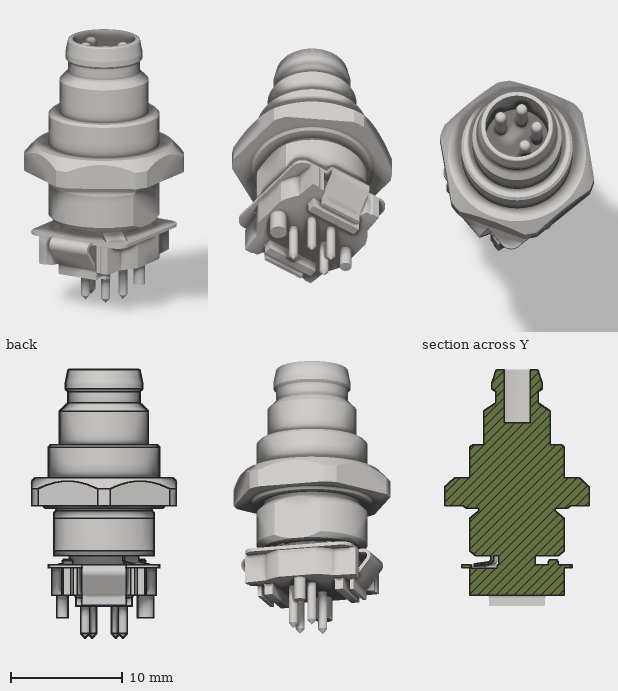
import cadquery as cq
import math


ORIGIN = (0, 0, 0)
AXIS_POINT = (0, 0, 1)

TOP_Z = 12.25
PIN_TIP_Z = 12.0
RIM_Z = 12.1
RING_TOP_Z = 11.0
RING_BOTTOM_Z = 10.5
SOCKET_FLOOR_Z = 7.5
CONE_TOP_Z = 9.25
SHOULDER_Z = 5.5
HEX_HEIGHT = 2.53
FLANGE_HEIGHT = 0.22
NUT_TOP_Z = -0.45
NUT_BOTTOM_Z = -4.5
PLATE_TOP_Z = -5.28
PLATE_THICKNESS = 0.3
CARRIER_TOP_Z = PLATE_TOP_Z - PLATE_THICKNESS
CARRIER_BOTTOM_Z = -8.05
PAD_BOTTOM_Z = -9.0
CLIP_BOTTOM_Z = -8.95
PEG_BOTTOM_Z = -10.06
PIN_BOTTOM_Z = -11.9

BORE_RADIUS = 2.85
RIM_FACE_RADIUS = 3.08
RIM_RADIUS = 3.25
RING_RADIUS = 3.48
NECK_RADIUS = 3.25
SLEEVE_RADIUS = 4.0
SHOULDER_RADIUS = 5.0
SMALL_CHAMFER = 0.22
FLANGE_RADIUS = 5.5
UNDERCUT_RADIUS = 4.33
NUT_RADIUS = 5.0
NUT_LOWER_CHAMFER = 0.45
NUT_FLATS = 9.0
STEM_RADIUS = 3.1

HEX_FLATS = 13.0
HEX_CORNER_RADIUS = 7.197
HEX_CHAMFER = 1.0

PIN_POSITIONS = [(-1.7, 0.49), (1.7, 0.49), (-1.06, -1.43), (1.06, -1.43)]
PIN_RADIUS = 0.5
PIN_DOME_RADIUS = 0.4
PIN_TAIL_RADIUS = 0.4
PIN_POINT_LENGTH = 0.45
PIN_SEAT_RADIUS = 0.7
PIN_SEAT_DEPTH = 0.2

PLATE_SIDE = 10.0
PLATE_CORNER_RADIUS = 1.05
CLIP_WIDTH = 3.98
CLIP_BEND_RADIUS = 0.65
CLIP_BEND_Y = 5.42
CLIP_SLOPE = math.radians(39)
CLIP_LEG_BEND_RADIUS = 0.3
CLIP_LEG_OUTER_Y = 4.49
CLIP_LEG_INNER_Y = CLIP_LEG_OUTER_Y - 0.33
FINGER_WIDTH = 1.8
FINGER_HINGE = 5.0
FINGER_KNEE = 3.76
FINGER_FACE = 3.52
FINGER_RISE = 0.24
FINGER_THICKNESS = 0.22
FINGER_BEND_RADIUS = FINGER_KNEE - FINGER_FACE
RELIEF = 0.15
FINGER_ANGLES = [-45, 135]

CARRIER_RADIUS = 5.0
CARRIER_WIDTH = 9.4
CARRIER_HALF_DEPTH = 5.2
BLOCK_ROOT_Y = 3.23
BLOCK_ROOT_X = math.sqrt(CARRIER_RADIUS ** 2 - BLOCK_ROOT_Y ** 2)
BLOCK_END_X = 3.65
STEP_OUTER_X = 3.0
STEP_INNER_X = 2.78
STEP_DEPTH = 0.12
SLOT_MOUTH_X = 2.39
SLOT_MIDDLE_X = 2.21
SLOT_FLOOR_X = 2.02
SLOT_MIDDLE_Y = 4.7
PAD_WIDTH = 5.06
PAD_DEPTH = 0.75
PAD_CENTRE_Y = 3.3
PAD_FLARE = 0.07
PAD_FLARE_HEIGHT = 0.2

PEG_X = 3.74
LARGE_PEG_RADIUS = 0.74
SMALL_PEG_RADIUS = 0.52
STUD_POSITIONS = [(-3.27, -2.6), (3.27, 2.6)]
STUD_RADIUS = 0.48
STUD_HEIGHT = 0.34
STUD_CAP_RADIUS = 0.39
STUD_CAP_HEIGHT = 0.14


def cylinder(radius, bottom, top, x=0, y=0):
    return cq.Workplane("XY", origin=(x, y, bottom)).circle(radius).extrude(top - bottom)


def make_shell():
    """Turned sleeve, shoulder and flange ring, with the open mating socket."""
    rim_bulge = (RIM_RADIUS - RIM_FACE_RADIUS) * math.sqrt(0.5)
    rim_mid = (RIM_FACE_RADIUS + rim_bulge, RIM_Z + (TOP_Z - RIM_Z) * math.sqrt(0.5))
    return (
        cq.Workplane("XZ")
        .moveTo(0, -FLANGE_HEIGHT)
        .lineTo(FLANGE_RADIUS - FLANGE_HEIGHT, -FLANGE_HEIGHT)
        .lineTo(FLANGE_RADIUS, 0)
        .lineTo(SHOULDER_RADIUS, 0)
        .lineTo(SHOULDER_RADIUS, SHOULDER_Z - SMALL_CHAMFER)
        .lineTo(SHOULDER_RADIUS - SMALL_CHAMFER, SHOULDER_Z)
        .lineTo(SLEEVE_RADIUS, SHOULDER_Z)
        .lineTo(SLEEVE_RADIUS, CONE_TOP_Z - (SLEEVE_RADIUS - NECK_RADIUS))
        .lineTo(NECK_RADIUS, CONE_TOP_Z)
        .lineTo(NECK_RADIUS, RING_BOTTOM_Z - (RING_RADIUS - NECK_RADIUS))
        .lineTo(RING_RADIUS, RING_BOTTOM_Z)
        .lineTo(RING_RADIUS, RING_TOP_Z)
        .lineTo(RIM_RADIUS, RIM_Z)
        .threePointArc(rim_mid, (RIM_FACE_RADIUS, TOP_Z))
        .lineTo(BORE_RADIUS, TOP_Z)
        .lineTo(BORE_RADIUS, SOCKET_FLOOR_Z)
        .lineTo(0, SOCKET_FLOOR_Z)
        .close()
        .revolve(360, (0, 0, 0), (0, 1, 0))
    )


def make_hexagon():
    """Hexagon with two flats facing X, corners turned round and chamfered on top."""
    prism = (
        cq.Workplane("XY")
        .polygon(6, HEX_FLATS, circumscribed=True)
        .extrude(HEX_HEIGHT)
    )
    envelope = cylinder(HEX_CORNER_RADIUS, 0, HEX_HEIGHT).faces(">Z").chamfer(HEX_CHAMFER)
    return prism.intersect(envelope)


def make_nut():
    """Lower collar with two flats facing X, and the stem that passes through it."""
    upper_chamfer = NUT_RADIUS - UNDERCUT_RADIUS
    collar = (
        cylinder(NUT_RADIUS, NUT_BOTTOM_Z, NUT_TOP_Z)
        .faces(">Z").chamfer(upper_chamfer)
        .faces("<Z").chamfer(NUT_LOWER_CHAMFER)
    )
    undercut = cylinder(UNDERCUT_RADIUS, NUT_TOP_Z, 0)
    flats = (
        cq.Workplane("XY", origin=(0, 0, NUT_BOTTOM_Z))
        .rect(NUT_FLATS, 2 * NUT_RADIUS)
        .extrude(-NUT_BOTTOM_Z)
    )
    stem = cylinder(STEM_RADIUS, CARRIER_TOP_Z, NUT_BOTTOM_Z)
    return collar.union(undercut).intersect(flats).union(stem)


def make_pin(x, y):
    """Contact pin with a domed mating end and a thinner pointed tail."""
    head = (
        cylinder(PIN_RADIUS, SOCKET_FLOOR_Z - PIN_SEAT_DEPTH, PIN_TIP_Z, x, y)
        .faces(">Z").edges().fillet(PIN_DOME_RADIUS)
    )
    shank_bottom_z = PIN_BOTTOM_Z + PIN_POINT_LENGTH
    tail = cylinder(PIN_TAIL_RADIUS, shank_bottom_z, CARRIER_BOTTOM_Z, x, y)
    point = cq.Workplane(
        cq.Solid.makeCone(
            PIN_TAIL_RADIUS, 0, PIN_POINT_LENGTH, cq.Vector(x, y, shank_bottom_z), cq.Vector(0, 0, -1)
        )
    )
    return head.union(tail).union(point)


def make_pin_seat(x, y):
    """Conical recess around a pin in the socket floor."""
    return cq.Workplane(
        cq.Solid.makeCone(
            PIN_SEAT_RADIUS, PIN_RADIUS, PIN_SEAT_DEPTH,
            cq.Vector(x, y, SOCKET_FLOOR_Z), cq.Vector(0, 0, -1),
        )
    )


def make_clip():
    """Strip bent down from the plate edge on the +Y side, sloping back in to a straight leg."""
    sin_slope = math.sin(CLIP_SLOPE)
    cos_slope = math.cos(CLIP_SLOPE)
    bend_z = PLATE_TOP_Z - CLIP_BEND_RADIUS
    inner_radius = CLIP_BEND_RADIUS - PLATE_THICKNESS

    def bend_end(radius):
        return (CLIP_BEND_Y + radius * cos_slope, bend_z - radius * sin_slope)

    def slope_end(radius, leg_y):
        start_y, start_z = bend_end(radius)
        return (leg_y, start_z - (start_y - leg_y) / math.tan(CLIP_SLOPE))

    plate_edge_y = PLATE_SIDE / 2 - PLATE_THICKNESS
    leg_y, leg_z = slope_end(CLIP_BEND_RADIUS, CLIP_LEG_OUTER_Y)
    return (
        cq.Workplane("YZ", origin=(-CLIP_WIDTH / 2, 0, 0))
        .moveTo(plate_edge_y, PLATE_TOP_Z)
        .lineTo(CLIP_BEND_Y, PLATE_TOP_Z)
        .threePointArc((CLIP_BEND_Y + CLIP_BEND_RADIUS, bend_z), bend_end(CLIP_BEND_RADIUS))
        .lineTo(leg_y, leg_z)
        .lineTo(leg_y, CLIP_BOTTOM_Z)
        .lineTo(CLIP_LEG_INNER_Y, CLIP_BOTTOM_Z)
        .lineTo(*slope_end(inner_radius, CLIP_LEG_INNER_Y))
        .lineTo(*bend_end(inner_radius))
        .threePointArc((CLIP_BEND_Y + inner_radius, bend_z), (CLIP_BEND_Y, CARRIER_TOP_Z))
        .lineTo(plate_edge_y, CARRIER_TOP_Z)
        .close()
        .extrude(CLIP_WIDTH)
        .edges(cq.NearestToPointSelector((0, leg_y, leg_z))).fillet(CLIP_LEG_BEND_RADIUS)
    )


def make_finger():
    """Spring finger along +X: it rises from its hinge, then bends up against the nut."""
    knee_z = PLATE_TOP_Z + FINGER_RISE
    inner_face = FINGER_FACE - FINGER_THICKNESS
    bend_top_z = knee_z + FINGER_BEND_RADIUS
    outer_sag = FINGER_BEND_RADIUS * (1 - math.sqrt(0.5))
    under_radius = FINGER_BEND_RADIUS + FINGER_THICKNESS
    under_sag = under_radius * (1 - math.sqrt(0.5))
    under_z = knee_z - FINGER_THICKNESS
    return (
        cq.Workplane("XZ", origin=(0, FINGER_WIDTH / 2, 0))
        .moveTo(FINGER_HINGE, PLATE_TOP_Z)
        .lineTo(FINGER_KNEE, knee_z)
        .threePointArc((FINGER_FACE + outer_sag, knee_z + outer_sag), (FINGER_FACE, bend_top_z))
        .lineTo(FINGER_FACE, NUT_BOTTOM_Z)
        .lineTo(inner_face, NUT_BOTTOM_Z)
        .lineTo(inner_face, bend_top_z)
        .threePointArc((inner_face + under_sag, under_z + under_sag), (FINGER_KNEE, under_z))
        .lineTo(FINGER_HINGE, PLATE_TOP_Z - FINGER_THICKNESS)
        .close()
        .extrude(FINGER_WIDTH)
    )


def make_finger_window():
    """Opening in the plate under a finger along +X, with a relief notch at each hinge end."""
    def opening(end, width):
        return (
            cq.Workplane("XY", origin=((STEM_RADIUS + end) / 2, 0, CARRIER_TOP_Z))
            .rect(end - STEM_RADIUS, width)
            .extrude(PLATE_THICKNESS)
        )

    hinge = (
        cq.Workplane("XY", origin=(FINGER_HINGE + RELIEF / 2, 0, CARRIER_TOP_Z))
        .rect(RELIEF, FINGER_WIDTH)
        .extrude(PLATE_THICKNESS)
    )
    return opening(FINGER_HINGE + RELIEF, FINGER_WIDTH + 2 * RELIEF).cut(hinge)


def make_plate():
    """Square shield plate with two spring fingers and two clips."""
    plate = (
        cq.Workplane("XY", origin=(0, 0, CARRIER_TOP_Z))
        .rect(PLATE_SIDE, PLATE_SIDE)
        .extrude(PLATE_THICKNESS)
        .edges("|Z").fillet(PLATE_CORNER_RADIUS)
    )
    for angle in FINGER_ANGLES:
        plate = plate.cut(make_finger_window().rotate(ORIGIN, AXIS_POINT, angle))
        plate = plate.union(make_finger().rotate(ORIGIN, AXIS_POINT, angle))
    clip = make_clip()
    return plate.union(clip).union(clip.mirror("XZ"))


def make_clip_slot():
    """Stepped recess in the +Y side of the carrier, narrowing inwards to the clip leg."""
    step_y = CARRIER_HALF_DEPTH - STEP_DEPTH
    right_side = [
        (STEP_OUTER_X, CARRIER_HALF_DEPTH),
        (STEP_INNER_X, step_y),
        (SLOT_MOUTH_X, step_y),
        (SLOT_MIDDLE_X, SLOT_MIDDLE_Y),
        (SLOT_FLOOR_X, CLIP_LEG_INNER_Y),
    ]
    left_side = [(-x, y) for x, y in reversed(right_side)]
    return (
        cq.Workplane("XY", origin=(0, 0, CARRIER_BOTTOM_Z))
        .polyline(right_side + left_side)
        .close()
        .extrude(CARRIER_TOP_Z - CARRIER_BOTTOM_Z)
    )


def make_pad():
    """Standoff pad under the +Y side of the carrier, flared where it meets the carrier."""
    pad = (
        cq.Workplane("XY", origin=(0, PAD_CENTRE_Y, PAD_BOTTOM_Z))
        .rect(PAD_WIDTH, PAD_DEPTH)
        .extrude(CARRIER_BOTTOM_Z - PAD_BOTTOM_Z)
    )
    flare = (
        cq.Workplane("XY", origin=(0, PAD_CENTRE_Y, CARRIER_BOTTOM_Z - PAD_FLARE_HEIGHT))
        .rect(PAD_WIDTH, PAD_DEPTH)
        .workplane(offset=PAD_FLARE_HEIGHT)
        .rect(PAD_WIDTH + 2 * PAD_FLARE, PAD_DEPTH + 2 * PAD_FLARE)
        .loft()
    )
    return pad.union(flare)


def make_carrier():
    """Insulating carrier: flatted disc with corner blocks, clip slots, pads and pegs."""
    height = CARRIER_TOP_Z - CARRIER_BOTTOM_Z
    base = cq.Workplane("XY", origin=(0, 0, CARRIER_BOTTOM_Z))
    flats = base.rect(CARRIER_WIDTH, 2 * CARRIER_RADIUS).extrude(height)
    disc = base.circle(CARRIER_RADIUS).extrude(height).intersect(flats)
    block_corners = [
        (BLOCK_ROOT_X, BLOCK_ROOT_Y),
        (BLOCK_END_X, CARRIER_HALF_DEPTH),
        (-BLOCK_END_X, CARRIER_HALF_DEPTH),
        (-BLOCK_ROOT_X, BLOCK_ROOT_Y),
    ]
    block = base.polyline(block_corners).close().extrude(height)
    slot = make_clip_slot()
    pad = make_pad()
    carrier = disc.union(block).union(block.mirror("XZ"))
    carrier = carrier.cut(slot).cut(slot.mirror("XZ"))
    carrier = carrier.union(pad).union(pad.mirror("XZ"))
    large_peg = cylinder(LARGE_PEG_RADIUS, PEG_BOTTOM_Z, CARRIER_BOTTOM_Z, -PEG_X)
    small_peg = cylinder(SMALL_PEG_RADIUS, PEG_BOTTOM_Z, CARRIER_BOTTOM_Z, PEG_X)
    return carrier.union(large_peg).union(small_peg)


def make_stud(x, y):
    """Stepped stud standing on the plate."""
    step_z = PLATE_TOP_Z + STUD_HEIGHT
    body = cylinder(STUD_RADIUS, CARRIER_TOP_Z, step_z, x, y)
    cap = cylinder(STUD_CAP_RADIUS, step_z, step_z + STUD_CAP_HEIGHT, x, y)
    return body.union(cap)


result = make_shell().union(make_hexagon()).union(make_nut())
result = result.union(make_carrier()).union(make_plate())
for stud_x, stud_y in STUD_POSITIONS:
    result = result.union(make_stud(stud_x, stud_y))
for pin_x, pin_y in PIN_POSITIONS:
    result = result.cut(make_pin_seat(pin_x, pin_y)).union(make_pin(pin_x, pin_y))